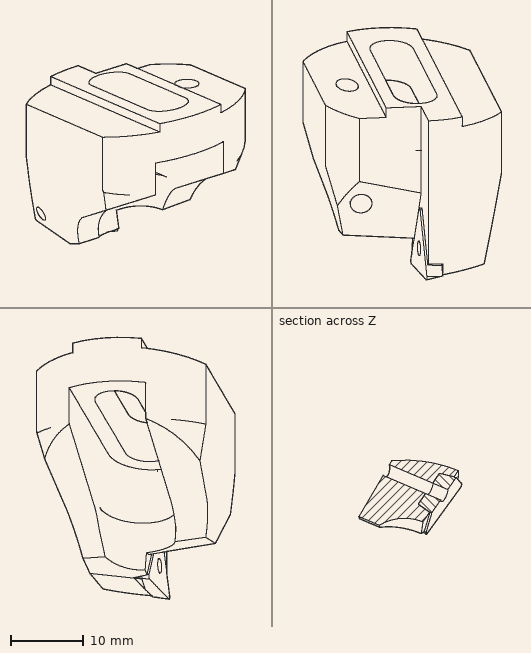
import cadquery as cq
import math

BIG = 62.0

height = 30.0
right_radius = 14.97
front_left_radius = 15.65
back_left_radius = 14.0
front_flat_y = -11.47
back_flat_y = 12.52
flute_wall_x = -10.95
slope = 14.0

ridge_half_width = 4.95
ridge_height = 1.3
slot_width = 6.1
slot_left = -10.23
slot_right = 11.07
slot_depth = 6.05
head_slot_width = 11.0
head_floor_depth = 15.45
access_left = -10.63

taper_depth = 9.6
taper_angle = 15.0
cone_top_z = 18.45
cone_rise = 3.0
underside_right = (13.9, 18.35)
underside_angle = 35.0
arc_top_x = 1.05
arc_middle = (-1.4, 5.77)
arc_bottom = (-1.98, 3.15)
heel_rise = 0.545
base_point = (-13.08, -8.45, 1.35)
base_rise_x = 0.042
base_rise_y = -0.117
base_edge_radius = 0.37

flute_z = 11.38
flute_drop_x = -1.63
flute_rise_y = 0.224
flute_bottom_z = 4.22
flute_bottom_rise_y = 0.067
coolant_diameter = 3.0
coolant_y = 8.05
coolant_angle = 59.5

insert_x = -10.97
insert_z = 3.45
insert_face_y = 0.3
insert_thickness = 2.35
insert_inradius = 3.178
insert_corner_radius = 0.4
insert_turn = 3.3
insert_clearance = 11.0
relief_start = 3.2
screw_diameter = 2.0
screw_z = 3.63

tilt = math.radians(slope)
ridge_z = height - right_radius * math.tan(tilt)
top_normal = cq.Vector(-math.sin(tilt), 0, math.cos(tilt))
top_plane = cq.Plane(origin=(0, 0, ridge_z), xDir=(math.cos(tilt), 0, math.sin(tilt)), normal=top_normal)


def beyond(point, normal):
    """Block filling the space on the side of a plane that its normal points to."""
    return cq.Workplane(cq.Plane(origin=point, normal=normal)).rect(2 * BIG, 2 * BIG).extrude(BIG)


def below_slope(point, rise_x, rise_y):
    """Block below a plane that rises by the given amounts along X and Y."""
    return beyond(point, (rise_x, rise_y, -1))


def block(x0, x1, y0, y1):
    """Tall upright block between two X and two Y limits."""
    return cq.Workplane().box(x1 - x0, y1 - y0, 2 * BIG).translate(((x0 + x1) / 2, (y0 + y1) / 2, 0))


def long_slot(left, right, width, top_depth, bottom_depth):
    """Round-ended slot square to the sloping top, between two depths below the ridge."""
    return (cq.Workplane(top_plane).workplane(offset=-top_depth).center((left + right) / 2, 0)
            .slot2D(right - left, width).extrude(top_depth - bottom_depth))


def envelope():
    """Upright body: three round sectors with front and back flats and the flute corner missing."""
    def sector(radius, x0, x1, y0, y1):
        column = cq.Workplane().circle(radius).extrude(height)
        return column.intersect(block(x0, x1, y0, y1))

    body = sector(right_radius, 0, BIG, front_flat_y, back_flat_y)
    body = body.union(sector(front_left_radius, -BIG, 0, front_flat_y, 0))
    return body.union(sector(back_left_radius, flute_wall_x, 0, 0, back_flat_y))


def cut_top(body):
    """Slope the top and lower it on both sides of the ridge."""
    body = body.cut(beyond((0, 0, ridge_z), top_normal))
    above_shoulder = beyond(top_plane.toWorldCoords((0, 0, -ridge_height)), top_normal)
    ridge_strip = block(-BIG, BIG, -ridge_half_width, ridge_half_width)
    return body.cut(above_shoulder.cut(ridge_strip))


def cut_tapers(body):
    """Lean both side flats inward below a line parallel to the top."""
    lean = math.radians(taper_angle)
    for flat_y, side in ((front_flat_y, -1), (back_flat_y, 1)):
        point = top_plane.toWorldCoords((0, flat_y, -taper_depth))
        body = body.cut(beyond(point, cq.Vector(0, side * math.cos(lean), 0) - top_normal * math.sin(lean)))
    return body


def cut_cone(body):
    """Narrow the lower right of the round side to a cone."""
    cone_bottom_radius = right_radius - cone_top_z / cone_rise
    cone = (cq.Workplane("XZ").polyline([(0, 0), (cone_bottom_radius, 0), (right_radius, cone_top_z), (0, cone_top_z)])
            .close().revolve(360, (0, 0), (0, 1)))
    ring = cq.Workplane().circle(BIG).extrude(cone_top_z).cut(cone)
    return body.cut(ring.intersect(block(0, BIG, -BIG, BIG)))


def cut_underside(body):
    """Bevel, round relief and heel across the full width, then the tilted base."""
    right_x, right_z = underside_right
    climb = math.tan(math.radians(underside_angle))
    arc_top = (arc_top_x, right_z - (right_x - arc_top_x) * climb)
    far_right = (BIG, right_z + (BIG - right_x) * climb)
    heel_end = (-BIG, arc_bottom[1] - (arc_bottom[0] + BIG) * heel_rise)
    relief = (cq.Workplane("XZ").moveTo(*far_right).lineTo(*arc_top).threePointArc(arc_middle, arc_bottom)
              .lineTo(*heel_end).lineTo(BIG, heel_end[1]).close().extrude(BIG, both=True))
    body = body.cut(relief).cut(below_slope(base_point, base_rise_x, base_rise_y))
    rim_point = (-math.sqrt(front_left_radius**2 - base_point[1]**2 / 4), base_point[1] / 2, base_point[2])
    return body.edges(cq.NearestToPointSelector(rim_point)).fillet(base_edge_radius)


def cut_flute(body):
    """Slanted flute floor and raised bottom of the half behind y = 0."""
    back_half = block(-BIG, BIG, 0, BIG)
    floor = below_slope((flute_wall_x, 0, flute_z), flute_drop_x, flute_rise_y)
    bottom = below_slope((0, 0, flute_bottom_z), 0, flute_bottom_rise_y)
    return body.cut(floor.intersect(back_half)).cut(bottom.intersect(back_half))


def cut_slots(body):
    """Clamping slot, wider screw head slot below it, and the opening under that; both open at +X."""
    head_left = slot_left - (head_slot_width - slot_width) / 2
    body = body.cut(long_slot(slot_left, slot_right, slot_width, 0, slot_depth))
    body = body.cut(long_slot(head_left, BIG, head_slot_width, slot_depth, head_floor_depth))
    return body.cut(long_slot(access_left, BIG, head_slot_width, head_floor_depth, BIG))


def coolant_hole():
    """Slanted drill from the back shoulder to the flute floor."""
    angle = math.radians(coolant_angle)
    axis = cq.Vector(-math.cos(angle), 0, -math.sin(angle))
    mouth = cq.Vector(0, coolant_y, ridge_z - ridge_height / math.cos(tilt))
    return cq.Workplane(cq.Plane(origin=mouth, normal=axis)).circle(coolant_diameter / 2).extrude(BIG / 2, both=True)


def insert_blank():
    """Rounded triangle that narrows toward -Y by the clearance angle."""
    corner_distance = 2 * (insert_inradius - insert_corner_radius)
    corners = []
    for number in range(3):
        angle = math.radians(90 + insert_turn + 120 * number)
        corners.append((corner_distance * math.cos(angle), corner_distance * math.sin(angle)))
    return (cq.Workplane("XZ", origin=(insert_x, insert_face_y, insert_z)).polyline(corners).close()
            .offset2D(insert_corner_radius).extrude(insert_thickness, taper=insert_clearance))


def tip_relief():
    """Holder material cleared beside the cutting tip, with a roof square to the insert's side."""
    outward = math.radians(150 + insert_turn)
    back_inradius = insert_inradius - insert_thickness * math.tan(math.radians(insert_clearance))
    side_plane = cq.Plane(origin=(insert_x, insert_face_y, insert_z),
                          xDir=(math.cos(outward), 0, math.sin(outward)), normal=(0, -1, 0))
    return (cq.Workplane(side_plane).moveTo(back_inradius, relief_start)
            .rect(BIG, BIG, centered=False).extrude(insert_thickness))


def screw_hole():
    return (cq.Workplane("XZ", origin=(insert_x, 0, screw_z)).circle(screw_diameter / 2)
            .extrude(BIG, both=True))


def make_holder():
    body = cut_cone(cut_tapers(cut_top(envelope())))
    body = cut_slots(cut_flute(cut_underside(body)))
    return body.cut(coolant_hole()).cut(insert_blank()).cut(tip_relief()).cut(screw_hole())


def make_insert():
    return insert_blank().cut(screw_hole())


holder = make_holder()
insert = make_insert()
result = cq.Compound.makeCompound([holder.val(), insert.val()])